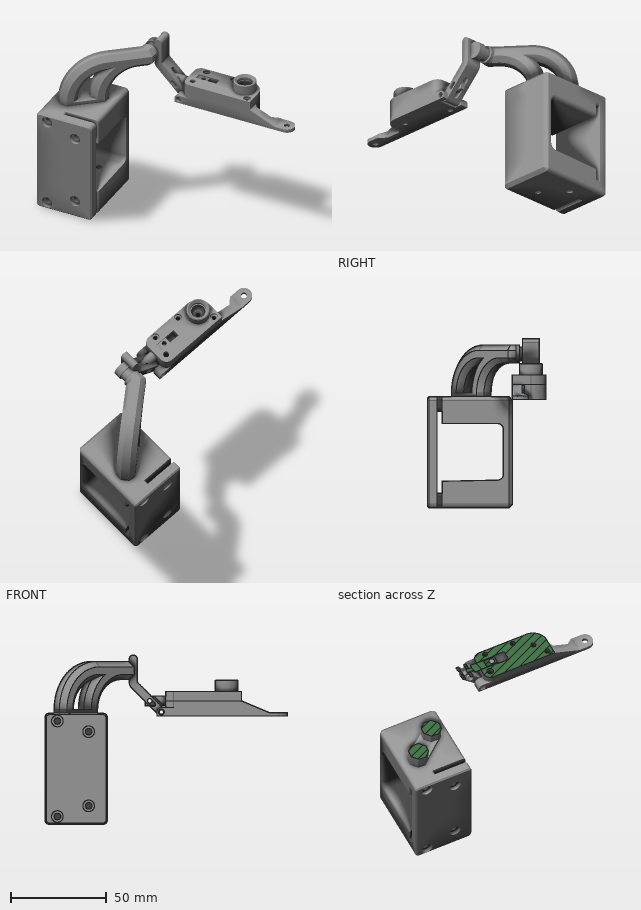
import cadquery as cq
import math

CLAMP_WIDTH = 32.5
CLAMP_HEIGHT = 57.9
CLAMP_BACK_Y = 44.5
EDGE_ROUND = 2.0
BACK_CHAMFER = 1.9
PLATE_DEPTH = 7.7
PLATE_SLAB = 5.0
PLATE_CHAMFER = 0.8

WINDOW_BACK_Y = 39.5
WINDOW_TOP_Z = 43.8
WINDOW_FLOOR_FRONT_Z = 13.9
WINDOW_FLOOR_BACK_Z = 14.5
WINDOW_CORNER = 2.9
FLOOR_HOLE_DIAMETER = 3.4
FLOOR_HOLES = [(10.1, 17.2), (22.4, 28.3)]

SPACER_LENGTH = 13.9
SPACER_HEIGHT = 7.6
SPACER_ROUND = 1.6

PLATE_SCREWS = [(6.5, 4.0), (22.7, 9.6)]
PLATE_SCREW_DIAMETER = 3.4
PLATE_HEAD_DIAMETER = 6.1
PLATE_HEAD_DEPTH = 2.0
PLATE_SCREW_DEPTH = 17.7

ARM_WIDTH = 10.0
ARM_HEIGHT = 9.5
ARM_CHAMFER = 2.8
ARM_BASE = (9.7, 17.6)
ARM_ANGLE = 40.0
LEG_SPACING = 16.5
BEND_START_Z = 59.9
BEND_RADIUS = 20.2
ARM_AXIS_Z = BEND_START_Z + BEND_RADIUS

STUD_X = 41.6
FLANGE_Y = 46.2
NECK_Y = 48.1
HEAD_Y = 52.0
STUD_END_Y = 56.1
FLANGE_DIAMETER = 9.6
NECK_DIAMETER = 7.5
HEAD_DIAMETER = 9.1

MODULE_FRONT_Y = 44.2
MODULE_BACK_Y = 61.9
MODULE_START_X = 62.8
MODULE_END_X = 102.5
MECHANISM_Y = 54.0
BASE_BOTTOM_Z = 56.4
SEAM_Z = 64.3
COVER_TOP_Z = 69.2
FRONT_CORNER = 4.0
KNOB_X = 94.6
KNOB_CORNER = 8.0

HINGE_X = 60.7
HINGE_Z = 58.5
LUG_RADIUS = 2.4
LUG_HOLE_DIAMETER = 3.0
LUG_GAP = 9.9

TAIL_TIP_X = 126.4
TAIL_RADIUS = 4.3
TAIL_Z = 58.3
TAIL_SLOPE_END_X = 116.9
TAIL_NECK_Y = 49.3
TAIL_NECK_END_X = 112.5
TAIL_WIDE_START_X = 116.1
TAIL_NECK_ROUND = 1.3
TAIL_HOLE_DIAMETER = 3.2

GUIDE_HOLE = (66.8, 48.5)
COVER_SCREWS = [(69.4, 59.5), (85.4, 59.5), (99.5, 47.0)]
COVER_SCREW_DIAMETER = 2.4
COVER_HEAD_DIAMETER = 4.0
COVER_HEAD_DEPTH = 1.3
COVER_SCREW_DEPTH = 8.8
SIGHT_HOLE_DIAMETER = 2.4

SLOT_START_X = 66.8
SLOT_END_X = 78.8
SLOT_WIDTH = 3.8
BUTTON_END_X = 73.0
BUTTON_TOP_Z = 68.6
BUTTON_HOLE_X = 70.5
BUTTON_HOLE_DIAMETER = 2.7

PLUNGER_DIAMETER = 5.3
PLUNGER_TIP_X = 52.2
BLADE_WIDTH = 2.4
SHOULDER_GAP = 1.0
BLADE_HOLE_X = 54.6
BLADE_HOLE_DIAMETER = 2.3

LINK_WIDTH = 9.0
LINK_THICKNESS = 4.3
LINK_INNER_X = 48.1
LINK_TOP_Z = 88.2
LINK_HOLE_DIAMETER = 2.3
LINK_SLOT_WIDTH = 2.9
LINK_SLOT_LENGTH = 12.6
LINK_SLOT_TO_HINGE = 8.2
PIN_SLOT_LENGTH = 4.8

KNOB_DIAMETER = 12.0
KNOB_HEIGHT = 6.1
KNOB_CHAMFER = 0.5
FUNNEL_DIAMETER = 10.7
FUNNEL_DEPTH = 1.3
WIDE_BORE_DIAMETER = 8.3
WIDE_BORE_DEPTH = 2.8
NARROW_BORE_DIAMETER = 7.5

SEAT_RING_DIAMETER = 5.5
SEAT_DEPTH = 1.3
COUNTERSINK_DIAMETER = 4.0
COUNTERSINK_DEPTH = 0.8


def block(x_range, y_range, z_range):
    """Box between two values on each axis."""
    sizes = [high - low for low, high in (x_range, y_range, z_range)]
    corner = (x_range[0], y_range[0], z_range[0])
    return cq.Workplane("XY").box(*sizes, centered=False).translate(corner)


def rod_x(diameter, start_x, end_x):
    """Cylinder on the plunger axis."""
    plane = cq.Workplane("YZ", origin=(start_x, MECHANISM_Y, SEAM_Z))
    return plane.circle(diameter / 2).extrude(end_x - start_x)


def rod_y(diameter, x, z, start_y, end_y):
    """Cylinder along Y."""
    plane = cq.Workplane("XZ", origin=(x, start_y, z))
    return plane.circle(diameter / 2).extrude(start_y - end_y)


def rod_z(diameter, x, y, bottom_z, top_z):
    """Cylinder along Z."""
    plane = cq.Workplane("XY", origin=(x, y, bottom_z))
    return plane.circle(diameter / 2).extrude(top_z - bottom_z)


def octagon():
    """Corners of the arm's section, width along X and height along Y, with 45-degree chamfers."""
    x = ARM_WIDTH / 2
    y = ARM_HEIGHT / 2
    near_x = x - ARM_CHAMFER
    near_y = y - ARM_CHAMFER
    right = [(near_x, -y), (x, -near_y), (x, near_y), (near_x, y)]
    left = [(-near_x, y), (-x, near_y), (-x, -near_y), (-near_x, -y)]
    return right + left


def leg_section():
    """Section of an upright leg: the height of the level run lies along local X."""
    return [(y, x) for x, y in octagon()]


def clamp_outline(start_y, end_y):
    """Rounded rectangular prism with the clamp's outline."""
    prism = block((0, CLAMP_WIDTH), (start_y, end_y), (0, CLAMP_HEIGHT))
    return prism.edges("|Y").fillet(EDGE_ROUND)


def plate_screw_places():
    """(X, Z) of the four plate screws."""
    low = [(x, inset) for x, inset in PLATE_SCREWS]
    high = [(x, CLAMP_HEIGHT - inset) for x, inset in PLATE_SCREWS]
    return low + high


def clamp_block():
    body = clamp_outline(PLATE_DEPTH, CLAMP_BACK_Y).faces(">Y").edges().chamfer(BACK_CHAMFER)
    window = (
        cq.Workplane("YZ")
        .moveTo(PLATE_DEPTH, WINDOW_FLOOR_FRONT_Z)
        .lineTo(WINDOW_BACK_Y, WINDOW_FLOOR_BACK_Z)
        .lineTo(WINDOW_BACK_Y, WINDOW_TOP_Z)
        .lineTo(PLATE_DEPTH, WINDOW_TOP_Z)
        .close()
        .extrude(CLAMP_WIDTH)
        .edges("|X and >Y")
        .fillet(WINDOW_CORNER)
    )
    body = body.cut(window)
    margin = 0.1
    rim = cq.selectors.BoxSelector(
        (-margin, PLATE_DEPTH + margin, WINDOW_FLOOR_FRONT_Z - margin),
        (margin, WINDOW_BACK_Y + margin, WINDOW_TOP_Z + margin),
    )
    body = body.edges(rim).fillet(EDGE_ROUND)
    for x, y in FLOOR_HOLES:
        body = body.cut(rod_z(FLOOR_HOLE_DIAMETER, x, y, 0, WINDOW_FLOOR_BACK_Z))
    for x, z in plate_screw_places():
        body = body.cut(rod_y(PLATE_SCREW_DIAMETER, x, z, PLATE_DEPTH, PLATE_SCREW_DEPTH))
    return body


def curved_leg():
    """Quarter-turn leg, rising at the local origin and bending towards local +X."""
    leg = cq.Workplane("XY").polyline(leg_section()).close()
    return leg.revolve(90, (BEND_RADIUS, 0), (BEND_RADIUS, 1)).translate((0, 0, BEND_START_Z))


def octagon_bar(length):
    """Straight bar along local +X with the arm's section."""
    return cq.Workplane("YZ").polyline(octagon()).close().extrude(length)


def arm_run():
    """Level run and the tip that turns to +Y, mitred together; the origin is on the stud axis."""
    turn_y = ARM_BASE[1] + (STUD_X - ARM_BASE[0]) * math.tan(math.radians(ARM_ANGLE))
    level_length = (STUD_X - ARM_BASE[0]) / math.cos(math.radians(ARM_ANGLE)) - BEND_RADIUS
    tip_length = FLANGE_Y - turn_y
    overlap = ARM_WIDTH
    tip_angle = 90
    mitre_angle = (ARM_ANGLE + tip_angle) / 2
    size = 2 * level_length
    beyond = cq.Workplane("XY").box(size, size, size).translate((size / 2, 0, 0))
    beyond = beyond.rotate((0, 0, 0), (0, 0, 1), mitre_angle)
    level = octagon_bar(level_length + overlap).translate((-level_length, 0, 0))
    level = level.rotate((0, 0, 0), (0, 0, 1), ARM_ANGLE).cut(beyond)
    tip = octagon_bar(tip_length + overlap).translate((-overlap, 0, 0))
    tip = tip.rotate((0, 0, 0), (0, 0, 1), tip_angle).intersect(beyond)
    past_end = cq.Workplane("XY").box(size, size, size).translate((0, tip_length + size / 2, 0))
    return level.union(tip).cut(past_end).translate((STUD_X, turn_y, ARM_AXIS_Z))


def arm():
    foot_height = BEND_START_Z - CLAMP_HEIGHT
    half_width = ARM_WIDTH / 2
    post = cq.Workplane("XY").polyline(leg_section()).close().extrude(foot_height)
    post = post.translate((0, 0, CLAMP_HEIGHT))
    filler = block((0, LEG_SPACING), (-half_width, half_width), (CLAMP_HEIGHT, BEND_START_Z))
    leg = post.union(curved_leg())
    legs = leg.union(leg.translate((LEG_SPACING, 0, 0))).union(filler)
    legs = legs.rotate((0, 0, 0), (0, 0, 1), ARM_ANGLE).translate((*ARM_BASE, 0))
    return legs.union(arm_run())


def stud_shank():
    """Neck and head of the stud, without the flange."""
    neck = rod_y(NECK_DIAMETER, STUD_X, ARM_AXIS_Z, NECK_Y, HEAD_Y)
    return neck.union(rod_y(HEAD_DIAMETER, STUD_X, ARM_AXIS_Z, HEAD_Y, STUD_END_Y))


def stud_flange():
    """Octagon with its corners turned round."""
    prism = cq.Workplane("XZ", origin=(STUD_X, FLANGE_Y, ARM_AXIS_Z)).polyline(octagon()).close()
    disc = rod_y(FLANGE_DIAMETER, STUD_X, ARM_AXIS_Z, FLANGE_Y, NECK_Y)
    return prism.extrude(FLANGE_Y - NECK_Y).intersect(disc)


def clamp_with_arm():
    return clamp_block().union(arm()).union(stud_flange()).union(stud_shank())


def front_plate():
    plate = clamp_outline(0, PLATE_DEPTH).faces("<Y").edges().chamfer(PLATE_CHAMFER)
    relief_depth = (PLATE_SLAB, PLATE_DEPTH)
    relief = block((0, CLAMP_WIDTH), relief_depth, (0, CLAMP_HEIGHT))
    spacer = block((0, SPACER_LENGTH), relief_depth, (0, SPACER_HEIGHT))
    spacer = spacer.edges("|Y").fillet(SPACER_ROUND)
    for z in (0, CLAMP_HEIGHT - SPACER_HEIGHT):
        relief = relief.cut(spacer.translate((0, 0, z)))
    plate = plate.cut(relief)
    for x, z in plate_screw_places():
        plate = plate.cut(rod_y(PLATE_SCREW_DIAMETER, x, z, 0, PLATE_DEPTH))
        plate = plate.cut(rod_y(PLATE_HEAD_DIAMETER, x, z, 0, PLATE_HEAD_DEPTH))
    return plate


def link():
    half = LINK_THICKNESS / 2
    slant = half * math.sqrt(0.5)
    inner_z = HINGE_X + HINGE_Z + 2 * slant - LINK_INNER_X
    outer_x = LINK_INNER_X - LINK_THICKNESS
    bend_mid = math.radians(45 / 2)
    outer_bend = (
        LINK_INNER_X - LINK_THICKNESS * math.cos(bend_mid),
        inner_z - LINK_THICKNESS * math.sin(bend_mid),
    )
    strap = (
        cq.Workplane("XZ", origin=(0, MECHANISM_Y + LINK_WIDTH / 2, 0))
        .moveTo(LINK_INNER_X, inner_z)
        .lineTo(LINK_INNER_X, LINK_TOP_Z - half)
        .threePointArc((LINK_INNER_X - half, LINK_TOP_Z), (outer_x, LINK_TOP_Z - half))
        .lineTo(outer_x, inner_z)
        .threePointArc(outer_bend, (LINK_INNER_X - 2 * slant, inner_z - 2 * slant))
        .lineTo(HINGE_X - slant, HINGE_Z - slant)
        .threePointArc((HINGE_X + slant, HINGE_Z - slant), (HINGE_X + slant, HINGE_Z + slant))
        .close()
        .extrude(LINK_WIDTH)
    )
    front_y = MECHANISM_Y - LINK_WIDTH / 2
    back_y = MECHANISM_Y + LINK_WIDTH / 2
    strap = strap.cut(rod_y(LINK_HOLE_DIAMETER, HINGE_X, HINGE_Z, front_y, back_y))

    reach = LINK_SLOT_TO_HINGE * math.sqrt(0.5)
    slot_centre = (HINGE_X - reach, MECHANISM_Y, HINGE_Z + reach)
    slant_plane = cq.Plane(origin=slot_centre, xDir=(1, 0, -1), normal=(1, 0, 1))
    blade_slot = (
        cq.Workplane(slant_plane)
        .slot2D(LINK_SLOT_LENGTH, LINK_SLOT_WIDTH)
        .extrude(LINK_THICKNESS, both=True)
    )
    shift = (PIN_SLOT_LENGTH - BLADE_HOLE_DIAMETER) / 2 * math.sqrt(0.5)
    pin_slot = (
        cq.Workplane("XZ", origin=(BLADE_HOLE_X + shift, back_y, SEAM_Z - shift))
        .transformed(rotate=(0, 0, -45))
        .slot2D(PIN_SLOT_LENGTH, BLADE_HOLE_DIAMETER)
        .extrude(LINK_WIDTH)
    )
    return strap.cut(blade_slot).cut(pin_slot).cut(stud_shank())


def slot_bar(end_x, top_z):
    """Bar that fills the cover slot up to a given end and height."""
    half = SLOT_WIDTH / 2
    across = (MECHANISM_Y - half, MECHANISM_Y + half)
    return block((SLOT_START_X, end_x), across, (SEAM_Z, top_z))


def button_block():
    return slot_bar(BUTTON_END_X, BUTTON_TOP_Z)


def plunger():
    rod = rod_x(PLUNGER_DIAMETER, PLUNGER_TIP_X, BUTTON_END_X)
    radius = PLUNGER_DIAMETER / 2
    shoulder = HINGE_X + HINGE_Z + LINK_THICKNESS * math.sqrt(0.5) + SHOULDER_GAP * math.sqrt(2)
    flank = (
        cq.Workplane("XZ", origin=(0, MECHANISM_Y + BLADE_WIDTH / 2, 0))
        .moveTo(PLUNGER_TIP_X, SEAM_Z - radius)
        .lineTo(shoulder - SEAM_Z + radius, SEAM_Z - radius)
        .lineTo(shoulder - SEAM_Z - radius, SEAM_Z + radius)
        .lineTo(PLUNGER_TIP_X, SEAM_Z + radius)
        .close()
        .extrude(-radius)
    )
    other_flank = flank.translate((0, -MECHANISM_Y, 0)).mirror("XZ").translate((0, MECHANISM_Y, 0))
    rod = rod.cut(flank).cut(other_flank)
    pin_hole = rod_y(
        BLADE_HOLE_DIAMETER, BLADE_HOLE_X, SEAM_Z, MECHANISM_Y - radius, MECHANISM_Y + radius
    )
    return rod.cut(pin_hole).cut(button_block())


def button():
    hole = rod_z(BUTTON_HOLE_DIAMETER, BUTTON_HOLE_X, MECHANISM_Y, SEAM_Z, BUTTON_TOP_Z)
    return button_block().cut(hole)


def module_prism(bottom_z, top_z):
    """Shared outline of base and cover, with one large corner beside the knob."""
    prism = block((MODULE_START_X, MODULE_END_X), (MODULE_FRONT_Y, MODULE_BACK_Y), (bottom_z, top_z))
    prism = prism.edges("|Z and <X").fillet(FRONT_CORNER)
    return prism.edges("|Z and >X and >Y").fillet(KNOB_CORNER)


def module_holes():
    """Holes shared by base and cover."""
    holes = rod_z(TAIL_HOLE_DIAMETER, *GUIDE_HOLE, BASE_BOTTOM_Z, COVER_TOP_Z)
    holes = holes.union(rod_z(SIGHT_HOLE_DIAMETER, KNOB_X, MECHANISM_Y, BASE_BOTTOM_Z, COVER_TOP_Z))
    for x, y in COVER_SCREWS:
        screw = rod_z(COVER_SCREW_DIAMETER, x, y, COVER_TOP_Z - COVER_SCREW_DEPTH, COVER_TOP_Z)
        holes = holes.union(screw)
    return holes.union(rod_x(PLUNGER_DIAMETER, MODULE_START_X, SLOT_END_X))


def tail():
    """Tail plate, cut by the slope that runs down from the seam."""
    tip_y = MODULE_FRONT_Y + TAIL_RADIUS
    wide_y = tip_y + TAIL_RADIUS
    centre_x = TAIL_TIP_X - TAIL_RADIUS
    outline = (
        cq.Workplane("XY", origin=(0, 0, BASE_BOTTOM_Z))
        .moveTo(MODULE_END_X, MODULE_FRONT_Y)
        .lineTo(centre_x, MODULE_FRONT_Y)
        .threePointArc((TAIL_TIP_X, tip_y), (centre_x, wide_y))
        .lineTo(TAIL_WIDE_START_X, wide_y)
        .lineTo(TAIL_NECK_END_X, TAIL_NECK_Y)
        .lineTo(MODULE_END_X + TAIL_NECK_ROUND, TAIL_NECK_Y)
        .radiusArc((MODULE_END_X, TAIL_NECK_Y + TAIL_NECK_ROUND), -TAIL_NECK_ROUND)
        .close()
        .extrude(SEAM_Z - BASE_BOTTOM_Z)
    )
    profile = (
        cq.Workplane("XZ", origin=(0, MODULE_BACK_Y, 0))
        .moveTo(MODULE_END_X, BASE_BOTTOM_Z)
        .lineTo(TAIL_TIP_X, BASE_BOTTOM_Z)
        .lineTo(TAIL_TIP_X, TAIL_Z)
        .lineTo(TAIL_SLOPE_END_X, TAIL_Z)
        .lineTo(MODULE_END_X, SEAM_Z)
        .close()
        .extrude(MODULE_BACK_Y - MODULE_FRONT_Y)
    )
    return outline.intersect(profile).cut(rod_z(TAIL_HOLE_DIAMETER, centre_x, tip_y, BASE_BOTTOM_Z, TAIL_Z))


def base():
    step_z = HINGE_Z + LUG_RADIUS
    lug_start_x = HINGE_X - LUG_RADIUS
    slab_end_x = MODULE_START_X + FRONT_CORNER
    slab = block((lug_start_x, slab_end_x), (MODULE_FRONT_Y, MODULE_BACK_Y), (BASE_BOTTOM_Z, step_z))
    slab = slab.edges("|Y and <X and >Z").fillet(LUG_RADIUS)
    link_gap = block(
        (lug_start_x, MODULE_START_X),
        (MECHANISM_Y - LUG_GAP / 2, MECHANISM_Y + LUG_GAP / 2),
        (BASE_BOTTOM_Z, step_z),
    )
    body = module_prism(BASE_BOTTOM_Z, SEAM_Z).union(slab).cut(link_gap).union(tail())
    body = body.cut(rod_y(LUG_HOLE_DIAMETER, HINGE_X, HINGE_Z, MODULE_FRONT_Y, MODULE_BACK_Y))
    return body.cut(module_holes())


def turned(section):
    """Solid of revolution about the knob axis; heights count from the cover's top."""
    shape = cq.Workplane("XZ").polyline(section).close().revolve(360, (0, 0), (0, 1))
    return shape.translate((KNOB_X, MECHANISM_Y, COVER_TOP_Z))


def knob_seat():
    """Recess that narrows from the knob's bore to the sight hole."""
    bottom = -SEAT_DEPTH - COUNTERSINK_DEPTH
    section = [
        (0, 0),
        (NARROW_BORE_DIAMETER / 2, 0),
        (SEAT_RING_DIAMETER / 2, -SEAT_DEPTH),
        (COUNTERSINK_DIAMETER / 2, -SEAT_DEPTH),
        (SIGHT_HOLE_DIAMETER / 2, bottom),
        (0, bottom),
    ]
    return turned(section)


def cover():
    slot = slot_bar(SLOT_END_X, COVER_TOP_Z)
    lid = module_prism(SEAM_Z, COVER_TOP_Z).cut(module_holes()).cut(slot).cut(knob_seat())
    for x, y in COVER_SCREWS:
        lid = lid.cut(rod_z(COVER_HEAD_DIAMETER, x, y, COVER_TOP_Z - COVER_HEAD_DEPTH, COVER_TOP_Z))
    return lid


def knob():
    """Turned sleeve with a funnel and a stepped bore through it."""
    outer = KNOB_DIAMETER / 2
    wide = WIDE_BORE_DIAMETER / 2
    narrow = NARROW_BORE_DIAMETER / 2
    section = [
        (narrow, 0),
        (outer, 0),
        (outer, KNOB_HEIGHT - KNOB_CHAMFER),
        (outer - KNOB_CHAMFER, KNOB_HEIGHT),
        (FUNNEL_DIAMETER / 2, KNOB_HEIGHT),
        (wide, KNOB_HEIGHT - FUNNEL_DEPTH),
        (wide, KNOB_HEIGHT - WIDE_BORE_DEPTH),
        (narrow, KNOB_HEIGHT - WIDE_BORE_DEPTH),
    ]
    return turned(section)


bodies = [clamp_with_arm(), front_plate(), link(), plunger(), button(), base(), cover(), knob()]
result = cq.Compound.makeCompound([solid for body in bodies for solid in body.solids().vals()])